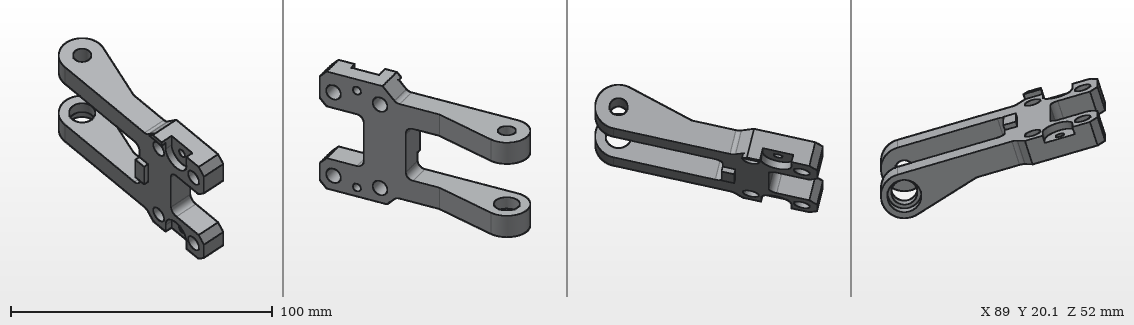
import cadquery as cq
import math

length = 89.0
plate_thickness = 10.0
lip_height = 2.05

arm_outer_z = 21.0
arm_inner_z = 11.5
head_radius = 9.0
slope_end_x = 37.6
pivot_diameter = 6.9
lower_bore_diameter = 10.0
lower_recess_diameter = 13.0
lower_recess_depth = 4.5

top_z = 27.0
bottom_z = -25.0
web_left_x = 52.0
web_right_x = 70.0
shoulder_foot_x = 56.0
end_chamfer = 3.0
corner_radius = 3.0

bolt_diameter = 6.2
bolt_z = 18.5
bolt_xs = (63.0, 83.0)
pocket_x = 73.0
pocket_radius = 6.0
pocket_depth = 3.0
screw_diameter = 3.4
upper_screw_z = 22.0
lower_screw_z = -21.0

tab_width = 5.0
tab_height = 10.0
lip_bottom_z = 25.0


def front_plane(depth=0):
    """XZ workplane at Y = depth whose extrusions go toward +Y."""
    return cq.Workplane("XZ", origin=(0, depth, 0))


def extrude_back(sketch, distance):
    return sketch.extrude(-distance)


def shoulder_x(z):
    """X of the 45 degree shoulder at height abs(z)."""
    return shoulder_foot_x + abs(z) - arm_outer_z


def make_plate():
    """Plate and straight arms, reaching back to the pivot axis."""
    outline = [
        (head_radius, arm_outer_z),
        (shoulder_foot_x, arm_outer_z),
        (shoulder_x(top_z), top_z),
        (length - end_chamfer, top_z),
        (length, top_z - end_chamfer),
        (length, arm_inner_z + end_chamfer),
        (length - end_chamfer, arm_inner_z),
        (web_right_x, arm_inner_z),
        (web_right_x, -arm_inner_z),
        (length - end_chamfer, -arm_inner_z),
        (length, -arm_inner_z - end_chamfer),
        (length, bottom_z + end_chamfer),
        (length - end_chamfer, bottom_z),
        (shoulder_x(bottom_z), bottom_z),
        (shoulder_foot_x, -arm_outer_z),
        (head_radius, -arm_outer_z),
        (head_radius, -arm_inner_z),
        (web_left_x, -arm_inner_z),
        (web_left_x, arm_inner_z),
        (head_radius, arm_inner_z),
    ]
    plate = extrude_back(front_plane().polyline(outline).close(), plate_thickness)
    inner_corners = [(x, z) for x in (web_left_x, web_right_x) for z in (-arm_inner_z, arm_inner_z)]
    shoulder_corners = [(shoulder_foot_x, z) for z in (-arm_outer_z, arm_outer_z)]
    for x, z in inner_corners + shoulder_corners:
        corner = cq.selectors.NearestToPointSelector((x, plate_thickness / 2, z))
        plate = plate.edges(corner).fillet(corner_radius)
    return plate


def make_head(bottom):
    """Round arm head with a flank tangent to it running down to the plate's back face."""
    run = slope_end_x - head_radius
    rise = plate_thickness - head_radius
    angle = math.atan2(rise, run) + math.acos(head_radius / math.hypot(run, rise))
    tangent = (head_radius * (1 + math.cos(angle)), head_radius * (1 + math.sin(angle)))
    return (
        cq.Workplane("XY", origin=(0, 0, bottom))
        .moveTo(head_radius, 0)
        .threePointArc((0, head_radius), tangent)
        .lineTo(slope_end_x, plate_thickness)
        .lineTo(slope_end_x, 0)
        .close()
        .extrude(arm_outer_z - arm_inner_z)
    )


def make_tab():
    tab = front_plane(-lip_height).center(web_left_x + tab_width / 2, 0).rect(tab_width, tab_height)
    return extrude_back(tab, lip_height)


def make_lip():
    """Lip along the upper edge, from the shoulder to the upper screw pocket."""
    pocket_left_x = pocket_x - pocket_radius
    outline = [
        (shoulder_x(lip_bottom_z), lip_bottom_z),
        (shoulder_x(top_z), top_z),
        (pocket_left_x, top_z),
        (pocket_left_x, lip_bottom_z),
    ]
    return extrude_back(front_plane(-lip_height).polyline(outline).close(), lip_height)


def make_pocket(screw_z, edge_z):
    """Shallow round-ended pocket open at the plate edge, with a through screw hole."""
    round_end = extrude_back(front_plane().center(pocket_x, screw_z).circle(pocket_radius), pocket_depth)
    opening = front_plane().center(pocket_x, (screw_z + edge_z) / 2)
    opening = extrude_back(opening.rect(2 * pocket_radius, abs(edge_z - screw_z)), pocket_depth)
    screw = front_plane().center(pocket_x, screw_z).circle(screw_diameter / 2)
    return round_end.union(opening).union(extrude_back(screw, plate_thickness))


def make_bolt_holes():
    centers = [(x, z) for x in bolt_xs for z in (-bolt_z, bolt_z)]
    return extrude_back(front_plane().pushPoints(centers).circle(bolt_diameter / 2), plate_thickness)


def make_pivot_cylinder(diameter, bottom, height):
    pivot = cq.Workplane("XY", origin=(head_radius, head_radius, bottom))
    return pivot.circle(diameter / 2).extrude(height)


def make_pivot_bores():
    """Plain upper bore, and a larger lower bore that widens at the underside of its arm."""
    arm_width = arm_outer_z - arm_inner_z
    upper = make_pivot_cylinder(pivot_diameter, arm_inner_z, arm_width)
    lower = make_pivot_cylinder(lower_bore_diameter, -arm_outer_z, arm_width)
    recess = make_pivot_cylinder(lower_recess_diameter, -arm_outer_z, lower_recess_depth)
    return upper.union(lower).union(recess)


result = (
    make_plate()
    .union(make_head(arm_inner_z))
    .union(make_head(-arm_outer_z))
    .union(make_tab())
    .union(make_lip())
    .cut(make_pocket(upper_screw_z, top_z))
    .cut(make_pocket(lower_screw_z, bottom_z))
    .cut(make_bolt_holes())
    .cut(make_pivot_bores())
)